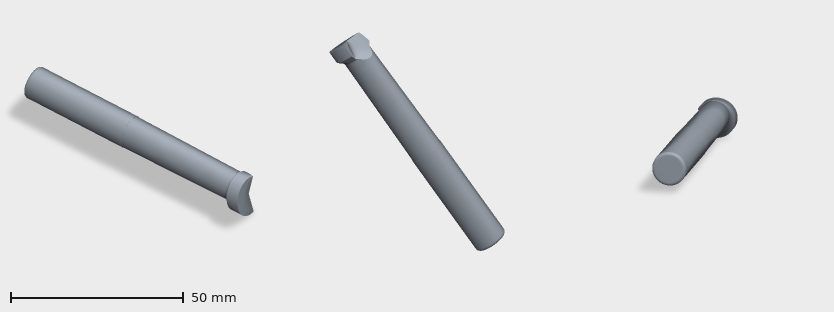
import cadquery as cq
import math

total_length = 77.0

shank_radius = 5.0
shank_length = 34.0
shank_end_fillet = 1.0

neck_start_radius = 4.9
neck_end_radius = 4.5
neck_end_x = 70.2

tip_depth = 7.0
head_radius = 5.85
head_axis_z = head_radius - tip_depth
front_rake = math.radians(14.3)
shoulder_run = tip_depth - neck_end_radius

pocket_start_z = -0.14
pocket_normal = (1.0, 1.25, -1.0)
pocket_size = 40.0


def revolve_about_tool_axis(profile):
    return profile.close().revolve(360, (0, 0, 0), (1, 0, 0))


def front_face_x(z):
    """X of the sloped front face at height z."""
    return total_length - (z + tip_depth) * math.tan(front_rake)


def make_shank():
    profile = (
        cq.Workplane("XZ")
        .lineTo(0, shank_radius)
        .lineTo(shank_length, shank_radius)
        .lineTo(shank_length, 0)
    )
    return revolve_about_tool_axis(profile).faces("<X").edges().fillet(shank_end_fillet)


def make_neck():
    profile = (
        cq.Workplane("XZ")
        .moveTo(shank_length, 0)
        .lineTo(shank_length, neck_start_radius)
        .lineTo(neck_end_x, neck_end_radius)
        .lineTo(neck_end_x, 0)
    )
    return revolve_about_tool_axis(profile)


def make_head():
    """Eccentric cylinder with a 45 degree conical shoulder behind and a sloped plane in front."""
    cylinder = (
        cq.Workplane("YZ", origin=(neck_end_x, 0, head_axis_z))
        .circle(head_radius)
        .extrude(total_length - neck_end_x)
    )
    envelope = revolve_about_tool_axis(
        cq.Workplane("XZ")
        .moveTo(neck_end_x, 0)
        .lineTo(neck_end_x, neck_end_radius)
        .lineTo(neck_end_x + shoulder_run, tip_depth)
        .lineTo(total_length, tip_depth)
        .lineTo(total_length, 0)
    )
    side_outline = (
        cq.Workplane("XZ")
        .moveTo(neck_end_x, -tip_depth)
        .lineTo(total_length, -tip_depth)
        .lineTo(front_face_x(tip_depth), tip_depth)
        .lineTo(neck_end_x, tip_depth)
        .close()
        .extrude(tip_depth, both=True)
    )
    return cylinder.intersect(envelope).intersect(side_outline)


def make_chip_pocket():
    """Space on the +Y side of the wall and in front of the sloped floor."""
    floor_origin = (front_face_x(pocket_start_z), 0, pocket_start_z)
    floor_plane = cq.Plane(origin=floor_origin, normal=pocket_normal)
    in_front_of_floor = cq.Workplane(floor_plane).rect(pocket_size, pocket_size).extrude(pocket_size)
    beside_wall = (
        cq.Workplane("XY", origin=floor_origin)
        .box(pocket_size, pocket_size, pocket_size, centered=(True, False, True))
    )
    return in_front_of_floor.intersect(beside_wall)


result = make_shank().union(make_neck()).union(make_head()).cut(make_chip_pocket())